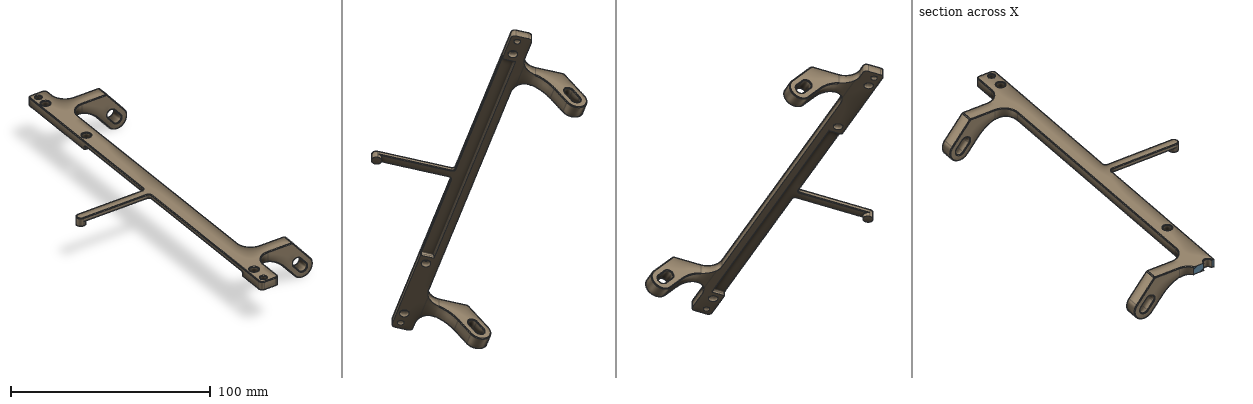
import cadquery as cq
import math


edge_chamfer = 0.4

bar_length = 208.7
bar_depth = 10.8
bar_height = 4.8
bar_corner_radius = 2.0

finger_x = 2.3
finger_width = 4.8
finger_reach = 42.5
finger_root_radius = 1.5
foot_length = 5.1

pocket_start_x = -53.4
pocket_end_x = 87.4
pocket_roof_z = -2.6
pocket_depth = 7.0
pocket_fillet = 0.8

arm_centres_x = (-87.1, 78.8)
arm_width = 7.5
arm_root_radius = 8.0
arm_reach = 45.97
arm_drop = 22.69
arm_tilt = math.radians(50)
arm_end_radius = 6.0
arm_bend_radius = 22.0

slot_radius = 2.5
slot_travel = 5.4

small_hole_diameter = 3.2
small_holes = ((-100.6, 3.9), (100.8, 3.8))
large_hole_diameter = 4.7
large_holes = ((-94.0, 3.8), (-58.1, 4.2), (91.9, 4.2))

arm_root_end_y = bar_depth + arm_root_radius
finger_tip_centre_y = -finger_reach + finger_width / 2

down_y, down_z = math.cos(arm_tilt), -math.sin(arm_tilt)
normal_y, normal_z = math.sin(arm_tilt), math.cos(arm_tilt)
end_y = arm_reach - arm_end_radius
end_z = -arm_drop + arm_end_radius


def make_bar():
    bar = cq.Workplane("XY").box(bar_length, bar_depth, bar_height, centered=(True, False, False))
    return bar.translate((0, 0, -bar_height)).edges("|Z").fillet(bar_corner_radius)


def make_finger():
    """Round-tipped finger, as thin as the bar above the pocket, flared into the bar by its root fillets."""
    half_width = finger_width / 2
    root_half_width = half_width + finger_root_radius
    return (
        cq.Workplane("XY")
        .moveTo(finger_x - root_half_width, 0)
        .radiusArc((finger_x - half_width, -finger_root_radius), finger_root_radius)
        .lineTo(finger_x - half_width, finger_tip_centre_y)
        .threePointArc((finger_x, -finger_reach), (finger_x + half_width, finger_tip_centre_y))
        .lineTo(finger_x + half_width, -finger_root_radius)
        .radiusArc((finger_x + root_half_width, 0), finger_root_radius)
        .lineTo(finger_x + root_half_width, bar_depth / 2)
        .lineTo(finger_x - root_half_width, bar_depth / 2)
        .close()
        .extrude(pocket_roof_z)
    )


def make_arm_profile(width):
    """Side profile of an arm in the YZ plane, extruded to the given width about X = 0."""
    top_y = end_y + arm_end_radius * normal_y
    top_z = end_z + arm_end_radius * normal_z
    bottom_y = end_y - arm_end_radius * normal_y
    bottom_z = end_z - arm_end_radius * normal_z

    top_bend_y = top_y - top_z / down_z * down_y
    inner_bend_y = bottom_y - (bottom_z + bar_height) / down_z * down_y
    tangent = arm_bend_radius * math.tan(arm_tilt / 2)
    return (
        cq.Workplane("YZ", origin=(-width / 2, 0, 0))
        .moveTo(bar_depth / 2, 0)
        .lineTo(top_bend_y, 0)
        .lineTo(top_y, top_z)
        .threePointArc(
            (end_y + arm_end_radius * down_y, end_z + arm_end_radius * down_z),
            (bottom_y, bottom_z),
        )
        .lineTo(inner_bend_y + tangent * down_y, -bar_height + tangent * down_z)
        .radiusArc((inner_bend_y - tangent, -bar_height), -arm_bend_radius)
        .lineTo(bar_depth / 2, -bar_height)
        .close()
        .extrude(width)
    )


def make_slot():
    return (
        cq.Workplane("YZ", origin=(-arm_width / 2, 0, 0))
        .center(end_y - slot_travel / 2 * down_y, end_z - slot_travel / 2 * down_z)
        .slot2D(slot_travel + 2 * slot_radius, 2 * slot_radius, -math.degrees(arm_tilt))
        .extrude(arm_width)
    )


def make_arm():
    """Straight-sided part of an arm, behind the root flare, chamfered along both sides and the bend."""
    arm = make_arm_profile(arm_width).cut(make_slot())
    arm = arm.edges("|X").edges(">Z").edges(">Y").chamfer(edge_chamfer)
    arm = arm.faces("<X or >X").edges().chamfer(edge_chamfer)
    behind_flare = cq.Workplane("XY").box(arm_width, arm_reach, arm_drop, centered=(True, False, False))
    return arm.intersect(behind_flare.translate((0, arm_root_end_y, -arm_drop)))


def make_arm_root():
    """Flare that joins an arm to the bar through its root fillets."""
    half_width = arm_width / 2
    root_half_width = half_width + arm_root_radius
    flare = (
        cq.Workplane("XY")
        .moveTo(-root_half_width, bar_depth)
        .radiusArc((-half_width, arm_root_end_y), -arm_root_radius)
        .lineTo(half_width, arm_root_end_y)
        .radiusArc((root_half_width, bar_depth), -arm_root_radius)
        .lineTo(root_half_width, bar_depth / 2)
        .lineTo(-root_half_width, bar_depth / 2)
        .close()
        .extrude(-arm_drop)
    )
    return flare.intersect(make_arm_profile(2 * root_half_width))


def make_holes(centres, diameter):
    return cq.Workplane("XY").pushPoints(centres).circle(diameter / 2).extrude(-bar_height)


def make_pocket():
    """Relief open at the front and the underside, its roof rounded into the back and end walls."""
    pocket = (
        cq.Workplane("XY")
        .moveTo(pocket_start_x, -pocket_depth)
        .lineTo(pocket_end_x, -pocket_depth)
        .lineTo(pocket_end_x, pocket_depth)
        .lineTo(pocket_start_x, pocket_depth)
        .close()
        .extrude(pocket_roof_z - bar_height)
        .translate((0, 0, pocket_roof_z))
    )
    return pocket.faces(">Z").edges(">Y or <X or >X").fillet(pocket_fillet)


def make_foot():
    """Rounded foot under the finger tip, rooted above the chamfer of the finger's underside."""
    foot_top_z = pocket_roof_z / 2
    return (
        cq.Workplane("XY", origin=(0, 0, foot_top_z))
        .center(finger_x, -finger_reach + foot_length / 2)
        .slot2D(foot_length, finger_width, 90)
        .extrude(-bar_height - foot_top_z)
    )


def chamfer_top(plate):
    """Chamfer the top outline and the holes, but not the joints where the arms go on."""
    arm_joints = cq.selectors.BoxSelector(
        (-bar_length, arm_root_end_y - edge_chamfer, -edge_chamfer),
        (bar_length, arm_root_end_y + edge_chamfer, edge_chamfer),
    )
    outer_edges = cq.selectors.InverseSelector(arm_joints)
    return plate.faces(">Z").edges(outer_edges).chamfer(edge_chamfer)


def chamfer_pocket_lip(plate):
    """Chamfer the lip that runs smoothly along the pocket opening and around the finger."""
    finger_tip = (finger_x, -finger_reach, pocket_roof_z)
    return plate.edges(cq.selectors.NearestToPointSelector(finger_tip)).chamfer(edge_chamfer)


plate = make_bar()
for arm_x in arm_centres_x:
    plate = plate.union(make_arm_root().translate((arm_x, 0, 0)))
plate = plate.cut(make_pocket()).union(make_finger())
plate = plate.cut(make_holes(small_holes, small_hole_diameter))
plate = plate.cut(make_holes(large_holes, large_hole_diameter))
plate = chamfer_pocket_lip(chamfer_top(plate))

result = plate.union(make_foot())
for arm_x in arm_centres_x:
    result = result.union(make_arm().translate((arm_x, 0, 0)))